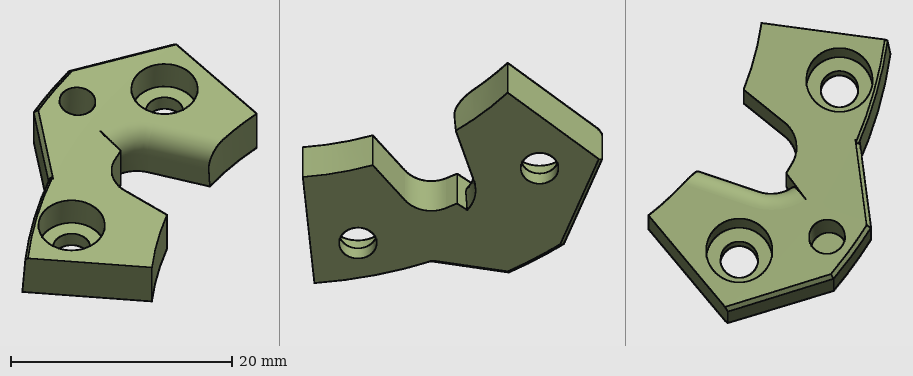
import cadquery as cq
import math


INNER_RADIUS = 28.2
OUTER_RADIUS = 40.0
HALF_ANGLE = 21.6
BODY_HEIGHT = 4.7
TAPER = 3.5
RIM_CHAMFER = 0.25

LOBE_RADIUS = 44.32
LOBE_UPPER_ANGLE = 9.45
LOBE_LOWER_ANGLE = 1.8
UPPER_FLAT_SLOPE = 47.0
LOWER_FLAT_SLOPE = -53.3
LOBE_CHAMFER = 0.4
CROWN_START_RADIUS = 39.35
CROWN_SLOPE = 3.0
LOBE_ROOT_RADIUS = 38.0

SCREW_X = -35.0
SCREW_Y = 9.2
SCREW_DIAMETER = 3.4
HEAD_DIAMETER = 6.0
HEAD_DEPTH = 3.1

PIN_RADIUS_FROM_CENTRE = 41.5
PIN_ANGLE = 5.8
PIN_DIAMETER = 3.25
PIN_DEPTH = 4.0

SLOT_END_X = -35.12
SLOT_MOUTH_X = -26.0
SLOT_END_HALF_WIDTH = 2.83
SLOT_FLARE = 10.2
LOWER_CORNER_RADIUS = 3.0
BEND_X = -33.0
BEND_RADIUS = 3.35
BEND_END_ANGLE = 155.2
ROUNDING_RADIUS = 2.0
STRAIGHT_BAND = 0.2
UNDERCUT = 0.15

OVERLAP = 1.0


def polar(radius, angle):
    """Point at a radius and at an angle measured from -X towards +Y."""
    a = math.radians(angle)
    return (-radius * math.cos(a), radius * math.sin(a))


def line_at_radius(start, slope, radius):
    """First point at the given radius on a line leaving start towards +X."""
    dx = math.cos(math.radians(slope))
    dy = math.sin(math.radians(slope))
    along = start[0] * dx + start[1] * dy
    step = -along - math.sqrt(along**2 - math.hypot(*start) ** 2 + radius**2)
    return (start[0] + step * dx, start[1] + step * dy)


def line_at_end_face(start, slope):
    """Point where a line leaving start crosses the upper end face of the ring."""
    a = math.radians(slope)
    face_x, face_y = polar(1, HALF_ANGLE)
    reach = (start[1] * math.cos(a) - start[0] * math.sin(a)) / (
        face_y * math.cos(a) - face_x * math.sin(a)
    )
    return polar(reach, HALF_ANGLE)


def make_ring_part():
    """Lower half of the ring segment with its leaning, chamfered outer wall."""
    wall_height = BODY_HEIGHT - RIM_CHAMFER
    wall_top_radius = OUTER_RADIUS - wall_height * math.tan(math.radians(TAPER))
    section = [
        (-INNER_RADIUS, 0),
        (-OUTER_RADIUS, 0),
        (-wall_top_radius, wall_height),
        (-wall_top_radius + RIM_CHAMFER, BODY_HEIGHT),
        (-INNER_RADIUS, BODY_HEIGHT),
    ]
    return (
        cq.Workplane("XZ").polyline(section).close()
        .revolve(HALF_ANGLE, (0, 0), (0, 1))
    )


def make_crown_part():
    """Upper half of the segment together with the lobe and its rising top."""
    upper_corner = polar(LOBE_RADIUS, LOBE_UPPER_ANGLE)
    lower_corner = polar(LOBE_RADIUS, LOBE_LOWER_ANGLE)
    arc_middle = polar(LOBE_RADIUS, (LOBE_UPPER_ANGLE + LOBE_LOWER_ANGLE) / 2)
    tip = line_at_end_face(upper_corner, UPPER_FLAT_SLOPE)
    root = line_at_radius(lower_corner, LOWER_FLAT_SLOPE, LOBE_ROOT_RADIUS)
    outline = (
        cq.Workplane("XY").moveTo(*polar(INNER_RADIUS, HALF_ANGLE))
        .lineTo(*tip)
        .lineTo(*upper_corner)
        .threePointArc(arc_middle, lower_corner)
        .lineTo(*root)
        .lineTo(*polar(INNER_RADIUS, 0))
        .threePointArc(polar(INNER_RADIUS, HALF_ANGLE / 2), polar(INNER_RADIUS, HALF_ANGLE))
        .close()
    )
    stock = outline.extrude(2 * BODY_HEIGHT)
    far_radius = LOBE_RADIUS + OVERLAP
    rise = (far_radius - CROWN_START_RADIUS) * math.tan(math.radians(CROWN_SLOPE))
    top_limit = (
        cq.Workplane("XZ")
        .polyline([
            (0, 0),
            (far_radius, 0),
            (far_radius, BODY_HEIGHT + rise),
            (CROWN_START_RADIUS, BODY_HEIGHT),
            (0, BODY_HEIGHT),
        ])
        .close()
        .revolve(360, (0, 0), (0, 1))
    )
    crown = stock.intersect(top_limit)
    wall_middles = [
        ((tip[0] + upper_corner[0]) / 2, (tip[1] + upper_corner[1]) / 2),
        arc_middle,
        ((lower_corner[0] + root[0]) / 2, (lower_corner[1] + root[1]) / 2),
    ]
    edges = []
    for x, y in wall_middles:
        wall = crown.faces(cq.NearestToPointSelector((x, y, BODY_HEIGHT / 2)))
        edges += wall.edges("not |Z").vals()
    return crown.newObject(edges).chamfer(LOBE_CHAMFER)


def slot_side_y(x):
    """Distance of the flared slot sides from the X axis."""
    return SLOT_END_HALF_WIDTH + (x - SLOT_END_X) * math.tan(math.radians(SLOT_FLARE))


BEND_START_ANGLE = 90 + SLOT_FLARE
BEND_Y = slot_side_y(BEND_X) - BEND_RADIUS / math.cos(math.radians(SLOT_FLARE))


def on_bend(angle):
    """Point of the bend at an angle measured from +X."""
    a = math.radians(angle)
    return (BEND_X + BEND_RADIUS * math.cos(a), BEND_Y + BEND_RADIUS * math.sin(a))


def make_slot():
    """Through slot: plain rounded corner below, wider bend ending in a step above."""
    bend_middle = on_bend((BEND_START_ANGLE + BEND_END_ANGLE) / 2)
    step_y = BEND_Y + (SLOT_END_X - BEND_X) * math.tan(math.radians(BEND_END_ANGLE))

    flare = math.radians(SLOT_FLARE)
    corner_x = SLOT_END_X + LOWER_CORNER_RADIUS
    corner_y = -slot_side_y(corner_x) + LOWER_CORNER_RADIUS / math.cos(flare)
    corner_end = (
        corner_x - LOWER_CORNER_RADIUS * math.sin(flare),
        corner_y - LOWER_CORNER_RADIUS * math.cos(flare),
    )
    return (
        cq.Workplane("XY").moveTo(SLOT_MOUTH_X, slot_side_y(SLOT_MOUTH_X))
        .lineTo(*on_bend(BEND_START_ANGLE))
        .threePointArc(bend_middle, on_bend(BEND_END_ANGLE))
        .lineTo(SLOT_END_X, step_y)
        .lineTo(SLOT_END_X, corner_y)
        .tangentArcPoint(corner_end, relative=False)
        .lineTo(SLOT_MOUTH_X, -slot_side_y(SLOT_MOUTH_X))
        .close()
        .extrude(BODY_HEIGHT)
    )


def make_edge_rounding():
    """Tool shaping the upper slot side and its bend: rounded at the top, leaning back below."""
    low = BODY_HEIGHT - ROUNDING_RADIUS
    top = BODY_HEIGHT + OVERLAP
    arc_inset = ROUNDING_RADIUS * (1 - math.sqrt(0.5))
    start = math.radians(BEND_START_ANGLE)
    section_plane = cq.Plane(
        origin=(BEND_X, BEND_Y, 0),
        xDir=(math.cos(start), math.sin(start), 0),
        normal=(math.sin(start), -math.cos(start), 0),
    )
    outline = (
        cq.Workplane(section_plane).moveTo(BEND_RADIUS - OVERLAP, 0)
        .lineTo(BEND_RADIUS + UNDERCUT, 0)
        .lineTo(BEND_RADIUS, low - STRAIGHT_BAND)
        .lineTo(BEND_RADIUS, low)
        .threePointArc(
            (BEND_RADIUS + arc_inset, BODY_HEIGHT - arc_inset),
            (BEND_RADIUS + ROUNDING_RADIUS, BODY_HEIGHT),
        )
        .lineTo(BEND_RADIUS + ROUNDING_RADIUS, top)
        .lineTo(BEND_RADIUS - OVERLAP, top)
        .close()
    )
    section = cq.Workplane(section_plane).add(cq.Face.makeFromWires(outline.val()))
    mouth = (SLOT_MOUTH_X, slot_side_y(SLOT_MOUTH_X))
    straight = section.extrude(math.dist(on_bend(BEND_START_ANGLE), mouth))
    bend = section.revolve(BEND_END_ANGLE - BEND_START_ANGLE, (0, 0), (0, 1))
    return straight.union(bend)


def make_screw_hole(y):
    """Through hole with a flat seat for a cylindrical screw head."""
    shank = cq.Workplane("XY").center(SCREW_X, y).circle(SCREW_DIAMETER / 2).extrude(BODY_HEIGHT)
    head = (
        cq.Workplane("XY", origin=(SCREW_X, y, BODY_HEIGHT - HEAD_DEPTH))
        .circle(HEAD_DIAMETER / 2)
        .extrude(HEAD_DEPTH + OVERLAP)
    )
    return shank.union(head)


def make_pin_hole():
    """Blind hole drilled square to the sloping top of the lobe."""
    x, y = polar(PIN_RADIUS_FROM_CENTRE, PIN_ANGLE)
    slope = math.radians(CROWN_SLOPE)
    z = BODY_HEIGHT + (PIN_RADIUS_FROM_CENTRE - CROWN_START_RADIUS) * math.tan(slope)
    out_x, out_y = polar(1, PIN_ANGLE)
    down = cq.Vector(out_x * math.sin(slope), out_y * math.sin(slope), -math.cos(slope))
    start = cq.Vector(x, y, z) - down * OVERLAP
    return cq.Solid.makeCylinder(PIN_DIAMETER / 2, PIN_DEPTH + OVERLAP, start, down)


result = make_ring_part().union(make_crown_part())
result = result.cut(make_slot()).cut(make_edge_rounding())
for side in (1, -1):
    result = result.cut(make_screw_hole(side * SCREW_Y))
result = result.cut(make_pin_hole())